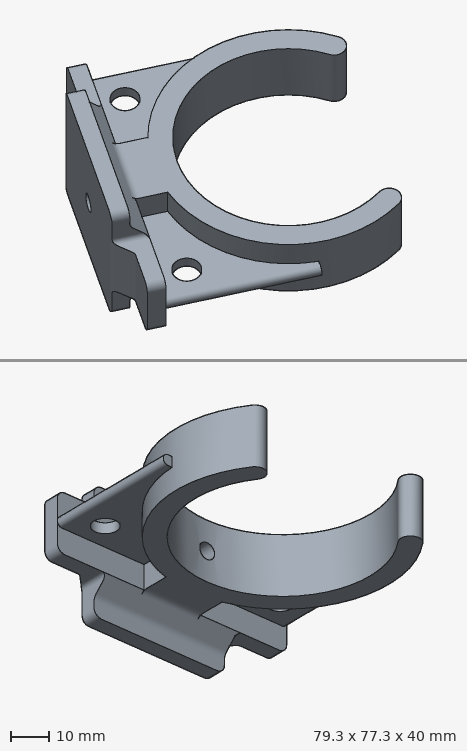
import cadquery as cq
import math

RING_INNER_R = 30.2
RING_OUTER_R = 36.7
RING_MID_R = (RING_INNER_R + RING_OUTER_R) / 2
TIP_R = (RING_OUTER_R - RING_INNER_R) / 2
TIP_ANGLE = math.radians(36.4)
RING_HEIGHT = 18.8
PART_LENGTH = 77.29

BASE_WIDTH = 79.27
BASE_FRONT_Y = RING_MID_R * math.sin(TIP_ANGLE) + TIP_R - PART_LENGTH
PLATE_WIDTH = 45.1
PLATE_HEIGHT = 40.0
PLATE_THICKNESS = 5.0
EAR_THICKNESS = 5.1
PLATE_BACK_Y = BASE_FRONT_Y + PLATE_THICKNESS
EAR_BACK_Y = PLATE_BACK_Y + EAR_THICKNESS
CORNER_R = 2.6
INNER_CORNER_R = 1.5
FRONT_BEVEL_R = 2.0
EAR_BEND_R = 1.5
BACK_BEND_R = 3.0

NECK_WIDTH = 19.4
NECK_BLEND_R = 3.0

WEB_THICKNESS = 3.3
WEB_EDGE_R = 1.6
WEB_TOP_Y = -1.9
WEB_HOLE_D = 7.82
WEB_HOLE_X = 30.2
WEB_HOLE_Y = -35.9

SCREW_HOLE_D = 5.08


def polar(radius, angle):
    return (radius * math.cos(angle), radius * math.sin(angle))


def mirrored_in_x(half_outline):
    """Complete a list of (x, y) points with its mirror image at -X."""
    return half_outline + [(-x, y) for x, y in reversed(half_outline)]


def mirrored_in_z(half_outline):
    """Complete a list of (y, z) points with its mirror image at -Z."""
    return half_outline + [(y, -z) for y, z in reversed(half_outline)]


def prism(plane, outline, length):
    """Extrude an outline evenly to both sides of a plane through the origin."""
    return cq.Workplane(plane).polyline(outline).close().extrude(length / 2, both=True)


def fillet_at(solid, direction, points, radius):
    """Round the edges parallel to an axis that lie nearest to the given points."""
    edges = solid.edges(direction)
    chosen = []
    for point in points:
        chosen += edges.edges(cq.selectors.NearestToPointSelector(point)).vals()
    return solid.newObject(chosen).fillet(radius)


def make_ring():
    bottom = -math.pi / 2
    right_inner = polar(RING_INNER_R, TIP_ANGLE)
    right_outer = polar(RING_OUTER_R, TIP_ANGLE)
    left_inner = (-right_inner[0], right_inner[1])
    left_outer = (-right_outer[0], right_outer[1])
    centre_x, centre_y = polar(RING_MID_R, TIP_ANGLE)
    tip_x = centre_x - TIP_R * math.sin(TIP_ANGLE)
    tip_y = centre_y + TIP_R * math.cos(TIP_ANGLE)
    return (
        cq.Workplane("XY")
        .moveTo(*right_outer)
        .threePointArc(polar(RING_OUTER_R, bottom), left_outer)
        .threePointArc((-tip_x, tip_y), left_inner)
        .threePointArc(polar(RING_INNER_R, bottom), right_inner)
        .threePointArc((tip_x, tip_y), right_outer)
        .close()
        .extrude(RING_HEIGHT / 2, both=True)
    )


def make_base():
    """Common volume of three prisms, one for each direction of the base."""
    half_plate = PLATE_WIDTH / 2
    half_base = BASE_WIDTH / 2
    flank_x = half_plate + PLATE_THICKNESS

    plan = prism("XY", mirrored_in_x([
        (half_plate, BASE_FRONT_Y),
        (flank_x, PLATE_BACK_Y),
        (half_base, PLATE_BACK_Y),
        (half_base, EAR_BACK_Y),
    ]), PLATE_HEIGHT)
    plan = fillet_at(plan, "|Z", [
        (half_plate, BASE_FRONT_Y, 0),
        (-half_plate, BASE_FRONT_Y, 0),
    ], FRONT_BEVEL_R)
    plan = fillet_at(plan, "|Z", [
        (flank_x, PLATE_BACK_Y, 0),
        (-flank_x, PLATE_BACK_Y, 0),
    ], EAR_BEND_R)

    half_ring = RING_HEIGHT / 2
    slope_z = half_ring + EAR_THICKNESS
    upper_half = [
        (BASE_FRONT_Y, PLATE_HEIGHT / 2),
        (PLATE_BACK_Y, PLATE_HEIGHT / 2),
        (PLATE_BACK_Y, slope_z),
        (EAR_BACK_Y, half_ring),
    ]
    side_shape = prism("YZ", mirrored_in_z(upper_half), BASE_WIDTH)
    side_shape = fillet_at(side_shape, "|X", [
        (0, PLATE_BACK_Y, slope_z),
        (0, PLATE_BACK_Y, -slope_z),
    ], BACK_BEND_R)

    reach = abs(BASE_FRONT_Y)
    plate = cq.Workplane("XZ").rect(PLATE_WIDTH, PLATE_HEIGHT).extrude(reach, both=True)
    ears = cq.Workplane("XZ").rect(BASE_WIDTH, RING_HEIGHT).extrude(reach, both=True)
    face_shape = plate.edges("|Y").fillet(CORNER_R).union(ears.edges("|Y").fillet(CORNER_R))
    face_shape = fillet_at(face_shape, "|Y", [
        (x, 0, z)
        for x in (-half_plate, half_plate)
        for z in (-half_ring, half_ring)
    ], INNER_CORNER_R)
    return plan.intersect(side_shape).intersect(face_shape)


def make_neck():
    """Block joining ring and base, blended into the sloped plate back."""
    half_ring = RING_HEIGHT / 2
    slope_z = half_ring + EAR_THICKNESS
    neck_start_y = -RING_MID_R
    upper_half = [
        (neck_start_y, half_ring),
        (EAR_BACK_Y, half_ring),
        (PLATE_BACK_Y, slope_z),
    ]
    neck = prism("YZ", mirrored_in_z(upper_half), NECK_WIDTH)
    return fillet_at(neck, "|X", [
        (0, EAR_BACK_Y, half_ring),
        (0, EAR_BACK_Y, -half_ring),
    ], NECK_BLEND_R)


def make_web():
    length = WEB_TOP_Y - EAR_BACK_Y
    web = (
        cq.Workplane("XY")
        .box(BASE_WIDTH, length, WEB_THICKNESS)
        .edges("|Y").fillet(WEB_EDGE_R)
        .translate((0, EAR_BACK_Y + length / 2, 0))
    )
    openings = (
        cq.Workplane("XY")
        .pushPoints([(-WEB_HOLE_X, WEB_HOLE_Y), (WEB_HOLE_X, WEB_HOLE_Y)])
        .circle(WEB_HOLE_D / 2)
        .extrude(WEB_THICKNESS, both=True)
    )
    bore = cq.Workplane("XY").circle(RING_MID_R).extrude(WEB_THICKNESS, both=True)
    return web.cut(openings).cut(bore)


def make_screw_hole():
    """Cylinder along Y from the plate front into the ring opening."""
    return cq.Workplane("XZ").circle(SCREW_HOLE_D / 2).extrude(-BASE_FRONT_Y)


result = (
    make_ring()
    .union(make_web())
    .union(make_base())
    .union(make_neck())
    .cut(make_screw_hole())
)